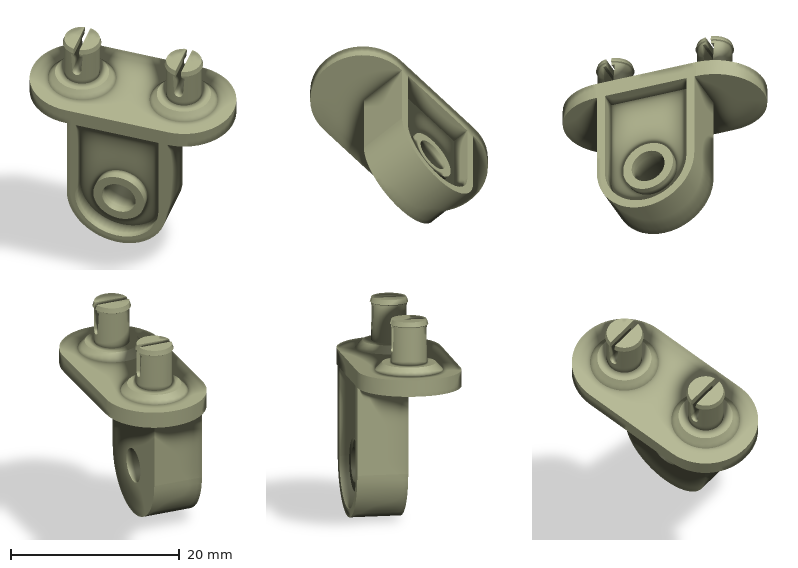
import cadquery as cq

plate_length = 25.1
plate_width = 12.42
plate_thickness = 1.98
corner_radius = 6.15
stud_spacing = 12.7

lug_radius = plate_width / 2
lug_depth = corner_radius
lug_bottom = -18.9
lug_front = -plate_width / 2
hole_z = lug_bottom + lug_radius
hole_diameter = 4.2
wall = 1.0
pocket_depth = 2.13
boss_diameter = 6.35
boss_recess = 0.8

stud_radius = 2.1
stud_top = 6.15
collar_base_radius = 4.07
collar_top_radius = 3.21
collar_height = 0.9
head_radius = 2.28
head_taper_height = 0.58
head_height = 0.68

mouth_width = 0.7
mouth_depth = 0.98
slot_top_width = 1.45
slot_bottom_width = 1.1
slot_bottom = 2.15


def arch(radius, top, depth, start_y):
    """Round-bottomed block centred on the hole, running in +Y from start_y."""
    return (
        cq.Workplane("XZ", origin=(0, start_y, 0))
        .moveTo(-radius, top)
        .lineTo(-radius, hole_z)
        .threePointArc((0, hole_z - radius), (radius, hole_z))
        .lineTo(radius, top)
        .close()
        .extrude(-depth)
    )


def rod(diameter, depth, start_y):
    """Cylinder along +Y on the hole axis."""
    return (
        cq.Workplane("XZ", origin=(0, start_y, hole_z))
        .circle(diameter / 2)
        .extrude(-depth)
    )


def make_plate():
    return (
        cq.Workplane("XY")
        .rect(plate_length, plate_width)
        .extrude(-plate_thickness)
        .edges("|Z")
        .fillet(corner_radius)
    )


def make_lug():
    lug = arch(lug_radius, 0, lug_depth, lug_front)
    pocket = arch(lug_radius - wall, -plate_thickness, pocket_depth, lug_front)
    boss = rod(boss_diameter, pocket_depth - boss_recess, lug_front + boss_recess)
    return lug.cut(pocket).union(boss)


def make_slot():
    half_mouth = mouth_width / 2
    half_top = slot_top_width / 2
    half_bottom = slot_bottom_width / 2
    shoulder_z = stud_top - mouth_depth
    return (
        cq.Workplane("XZ")
        .moveTo(-half_mouth, stud_top)
        .lineTo(-half_mouth, shoulder_z)
        .lineTo(-half_top, shoulder_z)
        .lineTo(-half_bottom, slot_bottom + half_bottom)
        .threePointArc((0, slot_bottom), (half_bottom, slot_bottom + half_bottom))
        .lineTo(half_top, shoulder_z)
        .lineTo(half_mouth, shoulder_z)
        .lineTo(half_mouth, stud_top)
        .close()
        .extrude(head_radius, both=True)
    )


def make_stud():
    body = (
        cq.Workplane("XZ")
        .moveTo(0, 0)
        .lineTo(collar_base_radius, 0)
        .lineTo(collar_top_radius, collar_height)
        .lineTo(stud_radius, collar_height)
        .lineTo(stud_radius, stud_top - head_height)
        .lineTo(head_radius, stud_top - head_taper_height)
        .lineTo(stud_radius, stud_top)
        .lineTo(0, stud_top)
        .close()
        .revolve(360, (0, 0, 0), (0, 1, 0))
    )
    return body.cut(make_slot())


result = make_plate().union(make_lug())
result = result.cut(rod(hole_diameter, lug_depth, lug_front))
for side in (-1, 1):
    result = result.union(make_stud().translate((side * stud_spacing / 2, 0, 0)))